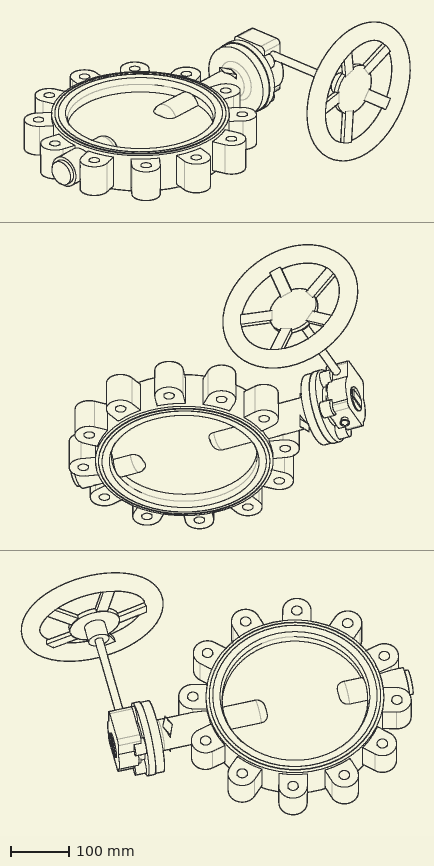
import cadquery as cq
import math


ring_radius = 152.5
ring_half_height = 34.5
raised_face_radius = 147
raised_face_half_height = 36
seat_radius = 141
seat_recess = 0.5
bore_mouth_radius = 128.5
bore_throat_radius = 125
throat_half_height = 24.5
disc_half_thickness = 9.5
disc_edge_overlap = 1
root_radius = (bore_mouth_radius + ring_radius) / 2

lug_count = 12
lug_circle_radius = 175
lug_radius = 24.5
lug_half_height = 28
lug_hole_diameter = 18

neck_radius = 27
neck_flare = 8.5
mount_face = 261.5
mount_thickness = 16
mount_radius = 62.5
mount_underside = mount_face - mount_thickness
foot_end = -196
cap_radius = 21.5
cap_end = -203.7
hub_radius = 25
hub_end_fillet = 14
upper_hub_end = 51
lower_hub_end = -77
badge_center = 225
badge_length = 39
badge_width = 17
badge_top = 27.5

plate_radius = 64
plate_thickness = 12
plate_top = mount_face + plate_thickness
pedestal_radius = 35
pedestal_top = 286
bolt_boss_offset = 32.5
bolt_boss_radius = 14
bolt_boss_top = 292.5
drum_radius = 42.5
box_half_width = 34.5
box_underside = 280.4
box_top = 320.5
box_bottom_z = -37.7
box_top_z = 62.5
box_fillet = 8
cover_radius = 21.5
cover_top = 322.6
pointer_length = 34
pointer_width = 16
pointer_top = 324.6

wheel_y = 300.3
wheel_z = 41
wheel_x = 233.33
wheel_outer_radius = 125
rim_tube_radius = 16
rim_radius = wheel_outer_radius - rim_tube_radius
shaft_radius = 7
wheel_hub_start = 186
wheel_hub_radius = 18
web_front = 215.5
web_thickness = 8
web_radius = 44
spoke_count = 5
spoke_width = 21
spoke_thickness = 7.5
spoke_inner_radius = 38
stop_screw_radius = 6
stop_screw_head_radius = 8
stop_screw_end = -46.3
stop_screw_head_height = 1.8
stop_screw_overlap = 1


def along_y(start, end, radius, x=0, z=0):
    """Cylinder parallel to Y between two Y positions."""
    plane = cq.Plane(origin=(x, start, z), xDir=(1, 0, 0), normal=(0, 1, 0))
    return cq.Workplane(plane).circle(radius).extrude(end - start)


def along_x(start, end, radius):
    """Cylinder on the handwheel axis between two X positions."""
    plane = cq.Plane(origin=(start, wheel_y, wheel_z), xDir=(0, 1, 0), normal=(1, 0, 0))
    return cq.Workplane(plane).circle(radius).extrude(end - start)


def along_z(start, end, radius, x=0, y=0):
    """Cylinder parallel to Z between two Z positions."""
    return cq.Workplane("XY", origin=(x, y, start)).circle(radius).extrude(end - start)


def make_ring():
    """Body ring with raised faces, a waisted bore and the closed disc across it."""
    seat_half_height = raised_face_half_height - seat_recess
    half_profile = [
        (bore_throat_radius, throat_half_height),
        (bore_mouth_radius, seat_half_height),
        (seat_radius, seat_half_height),
        (seat_radius, raised_face_half_height),
        (raised_face_radius, raised_face_half_height),
        (raised_face_radius, ring_half_height),
        (ring_radius, ring_half_height),
    ]
    mirrored = [(r, -z) for r, z in reversed(half_profile)]
    profile = cq.Workplane("XZ").polyline(half_profile + mirrored).close()
    ring = profile.revolve(360, (0, 0, 0), (0, 1, 0))
    disc = along_z(-disc_half_thickness, disc_half_thickness, bore_throat_radius + disc_edge_overlap)
    return ring.union(disc)


def make_lug(angle):
    """Round-ended lug reaching out from the ring, without its hole."""
    height = 2 * lug_half_height
    arm_length = lug_circle_radius - root_radius
    arm_center = (lug_circle_radius + root_radius) / 2
    arm = cq.Workplane("XY").box(arm_length, 2 * lug_radius, height).translate((arm_center, 0, 0))
    tip = along_z(-lug_half_height, lug_half_height, lug_radius, x=lug_circle_radius)
    return arm.union(tip).rotate((0, 0, 0), (0, 0, 1), angle)


def make_neck():
    """Upper spindle housing with its flared mounting flange and two rhombic badges."""
    neck = along_y(root_radius, mount_underside, neck_radius)
    neck = neck.union(along_y(mount_underside, mount_face, mount_radius))
    margin = 1
    inner_corner = cq.selectors.BoxSelector(
        (-neck_radius - margin, mount_underside - margin, -neck_radius - margin),
        (neck_radius + margin, mount_underside + margin, neck_radius + margin),
        boundingbox=True,
    )
    neck = neck.edges(inner_corner).edges("%CIRCLE").fillet(neck_flare)
    badge_outline = [
        (-badge_length / 2, badge_center),
        (0, badge_center - badge_width / 2),
        (badge_length / 2, badge_center),
        (0, badge_center + badge_width / 2),
    ]
    badges = cq.Workplane("XY").polyline(badge_outline).close().extrude(badge_top, both=True)
    return neck.union(badges)


def make_foot():
    """Lower spindle housing with its end cap."""
    foot = along_y(-root_radius, foot_end, neck_radius)
    return foot.union(along_y(foot_end, cap_end, cap_radius))


def make_disc_hub(end, root):
    """Round-ended hub on the disc that carries the spindle."""
    face = ">Y" if end > root else "<Y"
    return along_y(root, end, hub_radius).faces(face).edges().fillet(hub_end_fillet)


def make_valve():
    valve = make_ring()
    lug_angles = [(i + 0.5) * 360 / lug_count for i in range(lug_count)]
    for angle in lug_angles:
        valve = valve.union(make_lug(angle))
    valve = valve.union(make_neck()).union(make_foot())
    valve = valve.union(make_disc_hub(upper_hub_end, root_radius))
    valve = valve.union(make_disc_hub(lower_hub_end, -root_radius))
    for angle in lug_angles:
        x = lug_circle_radius * math.cos(math.radians(angle))
        y = lug_circle_radius * math.sin(math.radians(angle))
        valve = valve.cut(along_z(-lug_half_height, lug_half_height, lug_hole_diameter / 2, x, y))
    return valve


def make_gear_housing():
    """Gearbox: base plate, pedestal, four bolt bosses, rounded box and worm-wheel drum."""
    housing = along_y(mount_face, plate_top, plate_radius)
    housing = housing.union(along_y(plate_top, pedestal_top, pedestal_radius))
    for x in (-bolt_boss_offset, bolt_boss_offset):
        for z in (-bolt_boss_offset, bolt_boss_offset):
            housing = housing.union(along_y(plate_top, bolt_boss_top, bolt_boss_radius, x, z))

    box_height = box_top_z - box_bottom_z
    box_depth = box_top - box_underside
    box_center = (0, (box_top + box_underside) / 2, (box_top_z + box_bottom_z) / 2)
    box = cq.Workplane("XY").box(2 * box_half_width, box_depth, box_height)
    box = box.edges("|Y").fillet(box_fillet).translate(box_center)
    drum_limits = cq.Workplane("XY").box(2 * drum_radius, box_depth, box_height).translate(box_center)
    drum = along_y(pedestal_top, box_top, drum_radius).intersect(drum_limits)
    housing = housing.union(box).union(drum)

    cover = along_y(box_top, cover_top, cover_radius)
    pointer_height = pointer_top - box_top
    pointer = cq.Workplane("XY").box(pointer_length, pointer_height, pointer_width)
    pointer = pointer.translate((0, box_top + pointer_height / 2, 0))
    return housing.union(cover).union(pointer)


def make_stop_screw():
    """Small headed screw under the worm."""
    head_start = stop_screw_end + stop_screw_head_height
    stem = along_z(head_start, box_bottom_z + stop_screw_overlap, stop_screw_radius, y=wheel_y)
    return stem.union(along_z(stop_screw_end, head_start, stop_screw_head_radius, y=wheel_y))


def make_spoke(angle):
    """Flat spoke slanting from the web back to the middle of the rim."""
    web_middle = web_front + web_thickness / 2
    rise = rim_radius - spoke_inner_radius
    run = wheel_x - web_middle
    half_x = spoke_thickness / 2 * math.hypot(rise, run) / rise
    outline = [
        (web_middle - half_x, spoke_inner_radius),
        (web_middle + half_x, spoke_inner_radius),
        (wheel_x + half_x, rim_radius),
        (wheel_x - half_x, rim_radius),
    ]
    spoke = cq.Workplane("XY").polyline(outline).close().extrude(spoke_width / 2, both=True)
    return spoke.rotate((0, 0, 0), (1, 0, 0), angle).translate((0, wheel_y, wheel_z))


def make_handwheel():
    """Torus rim, five spokes, web disc, hub and worm shaft."""
    wheel = along_x(0, wheel_hub_start, shaft_radius)
    wheel = wheel.union(along_x(wheel_hub_start, web_front, wheel_hub_radius))
    wheel = wheel.union(along_x(web_front, web_front + web_thickness, web_radius))
    for i in range(spoke_count):
        wheel = wheel.union(make_spoke(180 + i * 360 / spoke_count))
    rim_section = cq.Workplane("XZ", origin=(wheel_x, wheel_y, wheel_z))
    rim_section = rim_section.center(0, rim_radius).circle(rim_tube_radius)
    rim = rim_section.revolve(360, (0, -rim_radius, 0), (1, -rim_radius, 0))
    return wheel.union(rim)


def make_gear_operator():
    return make_gear_housing().union(make_stop_screw()).union(make_handwheel())


valve = make_valve()
gear_operator = make_gear_operator()

result = cq.Compound.makeCompound([valve.solids().val(), gear_operator.solids().val()])